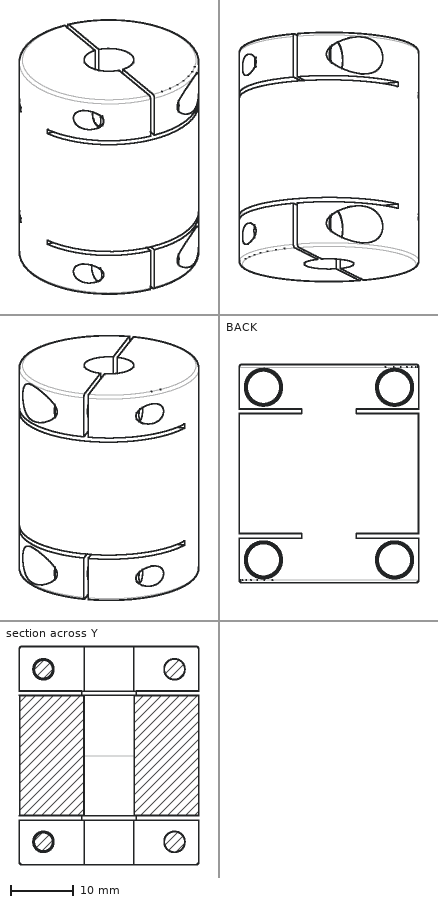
import cadquery as cq

length = 35.0
outer_diameter = 28.8
rim_fillet = 0.5
outer_radius = outer_diameter / 2
half_length = length / 2

bore_radius = 4.0
upper_relief_radius = 5.55
lower_relief_radius = 7.88

cut_width = 0.7
clamp_height = 7.18
web_half_width = 4.38

screw_x = 10.5
screw_z = 13.82
counterbore_radius = 3.0
counterbore_floor_y = 2.55
head_radius = 2.75
head_height = 3.0
head_chamfer = 0.15
clearance_radius = 1.68
slim_shank_radius = 1.5
thick_shank_radius = 1.68
tip_y = -8.05
slim_tip_chamfer = 0.35
thick_tip_chamfer = 0.28


def rod_y(x, z, radius, y_low, y_high):
    """Cylinder parallel to Y between two Y positions."""
    plane = cq.Plane(origin=(x, y_low, z), xDir=(1, 0, 0), normal=(0, 1, 0))
    return cq.Workplane(plane).circle(radius).extrude(y_high - y_low)


def body():
    """Round body with rounded rims and the through bore."""
    blank = cq.Workplane("XY").circle(outer_radius).extrude(half_length, both=True)
    blank = blank.edges().fillet(rim_fillet)
    return blank.cut(cq.Workplane("XY").circle(bore_radius).extrude(half_length, both=True))


def clamp_cuts(end, relief_radius):
    """Slit, two side slots and relief groove freeing the upper (1) or lower (-1) clamp."""
    slit_height = clamp_height + cut_width
    slit_z = end * (half_length - slit_height / 2)
    cuts = cq.Workplane("XY").box(outer_diameter, cut_width, slit_height).translate((0, 0, slit_z))
    slot_z = end * (half_length - clamp_height - cut_width / 2)
    slot_depth = outer_radius - web_half_width
    for side in (-1, 1):
        slot_x = side * (web_half_width + slot_depth / 2)
        slot = cq.Workplane("XY").box(slot_depth, outer_diameter, cut_width)
        cuts = cuts.union(slot.translate((slot_x, 0, slot_z)))
    relief = cq.Workplane("XY").circle(relief_radius).extrude(cut_width / 2, both=True)
    return cuts.union(relief.translate((0, 0, slot_z)))


def screw_hole(x, z):
    """Clearance hole right through, counterbored from the +Y side."""
    hole = rod_y(x, z, clearance_radius, -outer_radius, outer_radius)
    return hole.union(rod_y(x, z, counterbore_radius, counterbore_floor_y, outer_radius))


def screw(x, z, shank_radius, tip_chamfer):
    """Cap screw seated on the counterbore floor; a zero chamfer leaves the tip flat."""
    shank = rod_y(x, z, shank_radius, tip_y, counterbore_floor_y)
    if tip_chamfer > 0:
        shank = shank.faces("<Y").chamfer(tip_chamfer)
    head_top_y = counterbore_floor_y + head_height
    head = rod_y(x, z, head_radius, counterbore_floor_y, head_top_y)
    return shank.union(head.faces(">Y").chamfer(head_chamfer))


result = body()
for end, relief_radius in ((1, upper_relief_radius), (-1, lower_relief_radius)):
    result = result.cut(clamp_cuts(end, relief_radius))
    for side in (-1, 1):
        result = result.cut(screw_hole(side * screw_x, end * screw_z))

for end, thick_chamfer in ((1, thick_tip_chamfer), (-1, 0)):
    result = result.union(screw(-screw_x, end * screw_z, slim_shank_radius, slim_tip_chamfer))
    result = result.union(screw(screw_x, end * screw_z, thick_shank_radius, thick_chamfer))